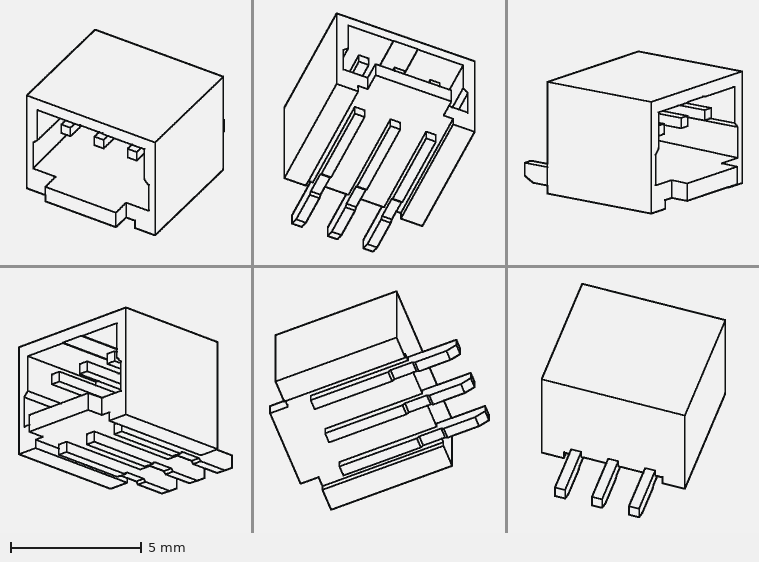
import cadquery as cq

total_length = 7.75

housing_width = 5.8
housing_depth = 5.01
housing_bottom = 0.08
housing_top = 4.52

channel_width = 3.98
channel_top = 0.43
ledge_width = 3.185
ledge_length = 0.745

floor_height = 1.12
ceiling_height = 4.01
upper_width = 4.82
lower_width = 5.22
step_bottom = 2.36
step_top = step_bottom + (lower_width - upper_width) / 2
upper_depth = 3.72
lower_depth = 4.34
slope_bottom = 2.15
slope_top = step_top
floor_rise = 0.11
mouth_floor_height = floor_height + floor_rise * ledge_length / (ledge_length + lower_depth)
groove_width = 1.02
groove_height = 0.02

pin_pitch = 1.495
pin_offsets = (-pin_pitch, 0, pin_pitch)
pin_width = 0.41
contact_center = 3.015
contact_recess = 0.6
tail_end = total_length - ledge_length
tail_top = 0.74
tail_tip_height = 0.22
tail_tip_run = 0.41
foot_front = 0.985
foot_back = 4.285
foot_bevel = 0.1
tail_foot_front = 5.19


def block(width, y_start, y_end, z_start, z_end):
    """Box centred on X between the given Y and Z limits."""
    size = (width, y_end - y_start, z_end - z_start)
    return cq.Workplane("XY").box(*size, centered=(True, False, False)).translate((0, y_start, z_start))


def side_prism(points, width):
    """Extrude a (Y, Z) outline symmetrically along X."""
    return cq.Workplane("YZ").polyline(points).close().extrude(width / 2, both=True)


def make_cavity():
    """Stepped mouth section trimmed by the sloping floor and back wall."""
    half_upper = upper_width / 2
    half_lower = lower_width / 2
    mouth = (
        cq.Workplane("XZ")
        .polyline([
            (-half_lower, floor_height),
            (half_lower, floor_height),
            (half_lower, step_bottom),
            (half_upper, step_top),
            (half_upper, ceiling_height),
            (-half_upper, ceiling_height),
            (-half_upper, step_top),
            (-half_lower, step_bottom),
        ])
        .close()
        .extrude(-housing_depth)
    )
    back_limit = side_prism([
        (0, mouth_floor_height),
        (lower_depth, floor_height + floor_rise),
        (lower_depth, slope_bottom),
        (upper_depth, slope_top),
        (upper_depth, ceiling_height),
        (0, ceiling_height),
    ], housing_width)
    groove = block(groove_width, 0, upper_depth, step_top, ceiling_height + groove_height)
    return mouth.intersect(back_limit).union(groove)


def make_housing():
    shell = block(housing_width, 0, housing_depth, housing_bottom, housing_top)
    channel = block(channel_width, 0, housing_depth, housing_bottom, channel_top)
    ledge = side_prism([
        (-ledge_length, channel_top),
        (0, channel_top),
        (0, mouth_floor_height),
        (-ledge_length, floor_height),
    ], ledge_width)
    return shell.cut(channel).cut(make_cavity()).union(ledge)


def make_pin():
    """Square contact in the cavity and a solder tail with two feet."""
    contact = block(
        pin_width,
        contact_recess,
        lower_depth,
        contact_center - pin_width / 2,
        contact_center + pin_width / 2,
    )
    tail = side_prism([
        (foot_front, tail_top),
        (foot_front, 0),
        (foot_back - foot_bevel, 0),
        (foot_back, foot_bevel),
        (tail_foot_front, foot_bevel),
        (tail_foot_front + foot_bevel, 0),
        (tail_end - tail_tip_run, 0),
        (tail_end, tail_tip_height),
        (tail_end, tail_top),
    ], pin_width)
    return contact.union(tail)


result = make_housing()
for offset in pin_offsets:
    result = result.union(make_pin().translate((offset, 0, 0)))